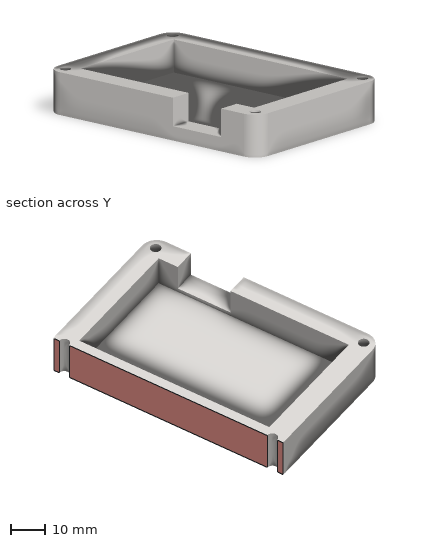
import cadquery as cq

length = 80.8
width = 56.15
height = 13.0
corner_radius = 5.0

wall = 7.0
pocket_depth = 10.0

notch_left = 48.6
notch_width = 18.5
notch_depth = 8.65

hole_diameter = 3.4
hole_inset = 3.9


def make_block():
    block = cq.Workplane("XY").box(length, width, height, centered=(True, True, False))
    return block.edges("|Z").fillet(corner_radius)


def cut_pocket(body):
    pocket = body.faces(">Z").workplane().rect(length - 2 * wall, width - 2 * wall)
    return pocket.cutBlind(-pocket_depth)


def cut_notch(body):
    notch = cq.Workplane("XY").box(notch_width, wall, notch_depth, centered=False)
    corner = (-length / 2 + notch_left, -width / 2, height - notch_depth)
    return body.cut(notch.translate(corner))


def cut_screw_holes(body):
    spacing_x = length - 2 * hole_inset
    spacing_y = width - 2 * hole_inset
    centers = body.faces("<Z").workplane(origin=(0, 0, 0)).rect(spacing_x, spacing_y, forConstruction=True)
    return centers.vertices().hole(hole_diameter)


result = cut_screw_holes(cut_notch(cut_pocket(make_block())))